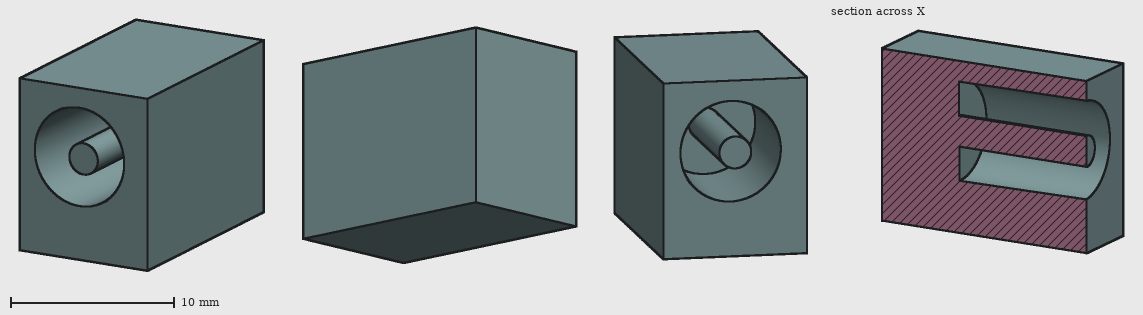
import cadquery as cq

width = 9.0
length = 14.5
height = 11.0
front_y = -length / 2

pin_diameter = 2.0
pin_z = 1.0

bore_diameter = 6.3
bore_depth = 9.0
mouth_shift_x = -0.29
mouth_shift_z = 0.09
mouth_overrun = 0.72
pin_embed = 0.72


def make_bore():
    floor_centre = cq.Vector(0, front_y + bore_depth, pin_z)
    mouth_centre = cq.Vector(mouth_shift_x, front_y, pin_z + mouth_shift_z)
    axis = mouth_centre - floor_centre
    bore_length = axis.Length + mouth_overrun
    return cq.Workplane(cq.Solid.makeCylinder(bore_diameter / 2, bore_length, floor_centre, axis))


def make_pin():
    tip_centre = cq.Vector(0, front_y, pin_z)
    pin_length = bore_depth + pin_embed
    return cq.Workplane(
        cq.Solid.makeCylinder(pin_diameter / 2, pin_length, tip_centre, cq.Vector(0, 1, 0))
    )


block = cq.Workplane("XY").box(width, length, height)
result = block.cut(make_bore()).union(make_pin())